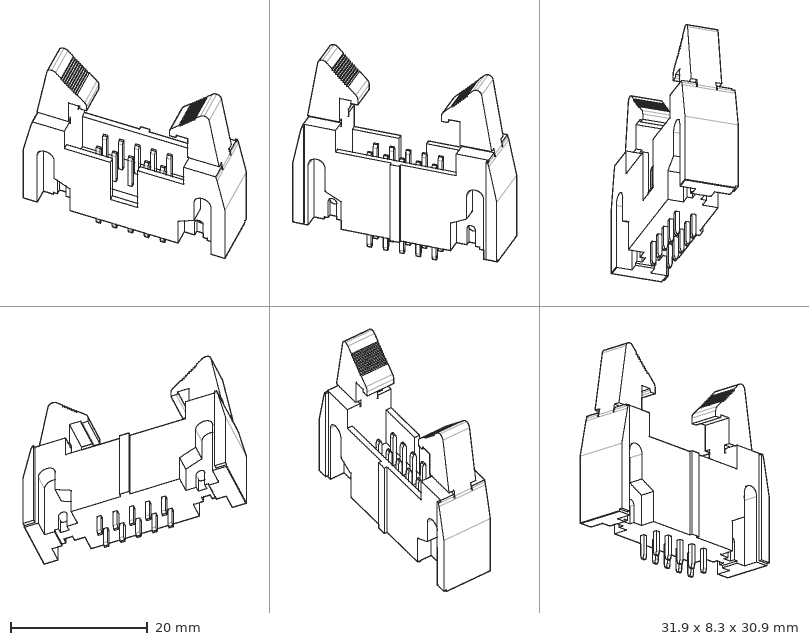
import cadquery as cq
import math


half_length = 15.95
depth = 7.82
wall = 0.88
cavity_half_length = 9.43
floor_top = 6.5
wall_top = 13.0
post_top = 16.7
mid_y = depth / 2

side_top_z = 10.1
ledge_low_x = 14.72
ledge_low_z = 15.9
ledge_high_z = 16.35

foot_drop = 0.36
foot_chamfer = 0.08
foot_inner_x = 12.15

back_depth = 8.3
lug_inner_x = 14.25
lug_setdown = 0.2
lug_top = post_top - lug_setdown
key_width = 1.48

notch_width = 4.3
notch_bottom = 5.05
notch_depth = 0.77

web = 2.96
slot_depth = (depth - web) / 2
slot_outer_x = 13.72
slot_inner_x = 11.07
slot_radius = (slot_outer_x - slot_inner_x) / 2
slot_top = 11.15
slot_foot_x = 8.54
slot_slope_top = 5.95
slot_slope_bottom = 4.7

pivot_x = 10.85
pivot_z = 2.73
pivot_diameter = 1.34
groove_depth = 0.8

lever_width = 4.76
lever_bottom = 17.3
lever_bottom_x = 14.4
lever_lean = 0.169
lever_top = 27.25
hook_underside = 21.3
neck_width = web
slit_width = 0.12
slit_depth = 0.65

tip_arc_start_z = 26.6
crest_x = 12.06
ramp_rise = 15.55
step_count = 9
step_size = 0.28
steps_end_x = 8.04
hook_nose_x = 6.53
nose_blend = 0.3
hook_lip_z = 20.78
hook_heel_x = 7.63
heel_radius = 0.25

pin_columns = 5
pin_rows = 2
pitch = 2.54
pin_size = 0.64
pin_bottom = -3.65
pin_top = 12.43
pin_taper_height = 0.55
pin_taper = 0.17


def box(x_range, y_range, z_range):
    """Block between the given limits."""
    size = [limits[1] - limits[0] for limits in (x_range, y_range, z_range)]
    corner = (x_range[0], y_range[0], z_range[0])
    return cq.Workplane("XY").box(*size, centered=False).translate(corner)


def extrude_y(outline, y_start, y_end):
    """Extrude a closed XZ outline from y_start to y_end."""
    return outline.extrude(-(y_end - y_start)).translate((0, y_start, 0))


def both_ends(shape):
    """The shape together with its mirror image at the other end."""
    return shape.union(shape.mirror("YZ"))


def lever_side_x(z):
    """Outer side of the lever at height z, which the post top also follows."""
    return lever_bottom_x - lever_lean * (z - lever_bottom)


def end_post_outline():
    """Right end post, from the cavity end to the outer side."""
    return cq.Workplane("XZ").polyline([
        (cavity_half_length, 0),
        (foot_inner_x, 0),
        (foot_inner_x, -foot_drop),
        (half_length - foot_chamfer, -foot_drop),
        (half_length, foot_chamfer - foot_drop),
        (half_length, side_top_z),
        (ledge_low_x, ledge_low_z),
        (lever_side_x(ledge_high_z), ledge_high_z),
        (lever_side_x(post_top), post_top),
        (cavity_half_length, post_top),
    ]).close()


def make_housing():
    inner = (-cavity_half_length, cavity_half_length)
    tub = box(inner, (0, depth), (0, wall_top))
    cavity = box(inner, (wall, depth - wall), (floor_top, wall_top))
    posts = both_ends(extrude_y(end_post_outline(), 0, depth))
    notch = box((-notch_width / 2, notch_width / 2), (0, notch_depth), (notch_bottom, wall_top))
    opening = box((-notch_width / 2, notch_width / 2), (0, wall), (floor_top, wall_top))
    return tub.cut(cavity).union(posts).cut(notch).cut(opening)


def make_back_lugs():
    limits = box((lug_inner_x, half_length), (depth, back_depth), (0, lug_top))
    profile = extrude_y(end_post_outline(), depth, back_depth)
    return both_ends(profile.intersect(limits))


def make_key():
    return box((-key_width / 2, key_width / 2), (depth, back_depth), (0, wall_top))


def make_slot_cutter():
    """Front and back slots of both end posts."""
    arc_z = slot_top - slot_radius
    outline = (
        cq.Workplane("XZ")
        .moveTo(slot_outer_x, -foot_drop)
        .lineTo(slot_outer_x, arc_z)
        .threePointArc((slot_outer_x - slot_radius, slot_top), (slot_inner_x, arc_z))
        .lineTo(slot_inner_x, slot_slope_top)
        .lineTo(slot_foot_x, slot_slope_bottom)
        .lineTo(slot_foot_x, -foot_drop)
        .close()
    )
    front = extrude_y(outline, 0, slot_depth)
    back = front.translate((0, depth - slot_depth, 0))
    return both_ends(front.union(back))


def make_pivot_cutter():
    """Pivot hole through each web, with a groove below it on both web faces."""
    radius = pivot_diameter / 2
    circle = cq.Workplane("XZ").center(pivot_x, pivot_z).circle(radius)
    cutter = extrude_y(circle, 0, depth)
    for y_start in (slot_depth, depth - slot_depth - groove_depth):
        groove = box(
            (pivot_x - radius, pivot_x + radius),
            (y_start, y_start + groove_depth),
            (-foot_drop, pivot_z),
        )
        cutter = cutter.union(groove)
    return both_ends(cutter)


def make_lever():
    """Right lever: hooked head with a stepped thumb ramp, on a narrower neck."""
    turn_ratio = math.tan(math.radians(45 / 2))
    ramp_start_x = (lever_top - ramp_rise - turn_ratio * crest_x) / (1 - turn_ratio)
    steps_start_x = steps_end_x + step_count * step_size
    nose_start_x = hook_nose_x + nose_blend
    nose_start_z = nose_start_x + ramp_rise
    nose_end_z = nose_start_z - nose_blend / turn_ratio

    outline = (
        cq.Workplane("XZ")
        .moveTo(cavity_half_length, post_top)
        .lineTo(lever_side_x(post_top), post_top)
        .lineTo(lever_side_x(tip_arc_start_z), tip_arc_start_z)
        .tangentArcPoint((crest_x, lever_top), relative=False)
        .tangentArcPoint((ramp_start_x, ramp_start_x + ramp_rise), relative=False)
        .lineTo(steps_start_x, steps_start_x + ramp_rise)
    )
    for _ in range(step_count):
        outline = outline.line(0, -step_size).line(-step_size, 0)
    outline = (
        outline.lineTo(nose_start_x, nose_start_z)
        .tangentArcPoint((hook_nose_x, nose_end_z), relative=False)
        .lineTo(hook_nose_x, hook_lip_z)
        .lineTo(hook_heel_x - heel_radius, hook_lip_z)
        .tangentArcPoint((hook_heel_x, hook_lip_z + heel_radius), relative=False)
        .lineTo(hook_heel_x, hook_underside)
        .lineTo(cavity_half_length, hook_underside)
        .close()
    )
    lever = extrude_y(outline, mid_y - lever_width / 2, mid_y + lever_width / 2)

    shoulder_x = (cavity_half_length, half_length)
    shoulder_z = (post_top, lever_bottom)
    front_shoulder = box(shoulder_x, (0, mid_y - neck_width / 2), shoulder_z)
    back_shoulder = box(shoulder_x, (mid_y + neck_width / 2, depth), shoulder_z)
    return lever.cut(front_shoulder).cut(back_shoulder)


def make_slit_cutter():
    """Thin slits in the post tops on both sides of each neck."""
    x_range = (cavity_half_length, half_length)
    z_range = (post_top - slit_depth, post_top)
    front_y = mid_y - neck_width / 2
    back_y = mid_y + neck_width / 2
    front = box(x_range, (front_y - slit_width, front_y), z_range)
    back = box(x_range, (back_y, back_y + slit_width), z_range)
    return both_ends(front.union(back))


def make_pin():
    """Square pin with both ends narrowed in the Y direction."""
    half = pin_size / 2
    tip = half - pin_taper
    low = pin_bottom + pin_taper_height
    high = pin_top - pin_taper_height
    side = cq.Workplane("YZ").polyline([
        (-half, low), (-tip, pin_bottom), (tip, pin_bottom), (half, low),
        (half, high), (tip, pin_top), (-tip, pin_top), (-half, high),
    ]).close()
    return side.extrude(half, both=True)


def add_pins(body):
    pin = make_pin()
    for column in range(pin_columns):
        for row in range(pin_rows):
            x = (column - (pin_columns - 1) / 2) * pitch
            y = mid_y + (row - (pin_rows - 1) / 2) * pitch
            body = body.union(pin.translate((x, y, 0)))
    return body


housing = make_housing().cut(make_slot_cutter())
housing = housing.faces("<Y").edges("<Z").chamfer(foot_chamfer)
housing = housing.union(make_back_lugs()).union(make_key())
housing = housing.cut(make_pivot_cutter()).cut(make_slit_cutter())
result = add_pins(housing.union(both_ends(make_lever())))